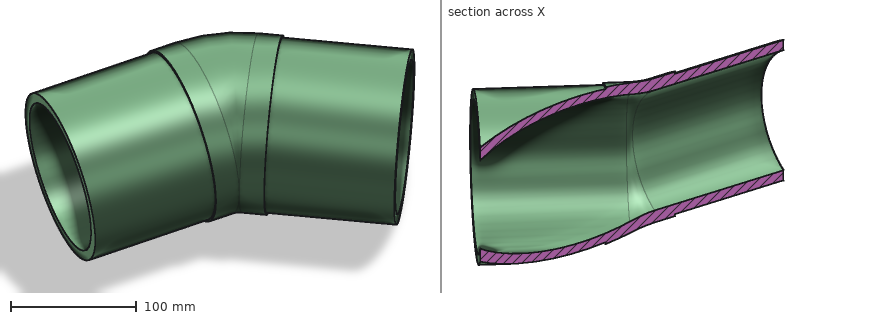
import cadquery as cq
import math

bend_angle = 30.0
bend_radius = 71.8
pipe_diameter = 140.0
collar_diameter = 143.5
bore_diameter = 123.5
pipe_length = 103.8
collar_length = 20.0

leg_length = pipe_length + collar_length
bend_radians = math.radians(bend_angle)


def straight(plane, diameter, length):
    """Round bar starting on the plane and running along its normal."""
    return cq.Workplane(plane).circle(diameter / 2).extrude(length)


def elbow(plane, diameter):
    """Round bar bent towards +X about a vertical axis."""
    return (
        cq.Workplane(plane)
        .circle(diameter / 2)
        .revolve(bend_angle, (bend_radius, 0, 0), (bend_radius, -1, 0))
    )


inlet_plane = cq.Plane(origin=(0, leg_length, 0), xDir=(1, 0, 0), normal=(0, -1, 0))
outlet_plane = cq.Plane(
    origin=(
        bend_radius * (1 - math.cos(bend_radians)),
        leg_length + bend_radius * math.sin(bend_radians),
        0,
    ),
    xDir=(0, 0, 1),
    normal=(math.sin(bend_radians), math.cos(bend_radians), 0),
)

body = elbow(inlet_plane, collar_diameter)
bore = elbow(inlet_plane, bore_diameter)
for leg_plane in (inlet_plane, outlet_plane):
    body = body.union(straight(leg_plane, collar_diameter, collar_length))
    body = body.union(straight(leg_plane, pipe_diameter, leg_length))
    bore = bore.union(straight(leg_plane, bore_diameter, leg_length))

result = body.cut(bore)